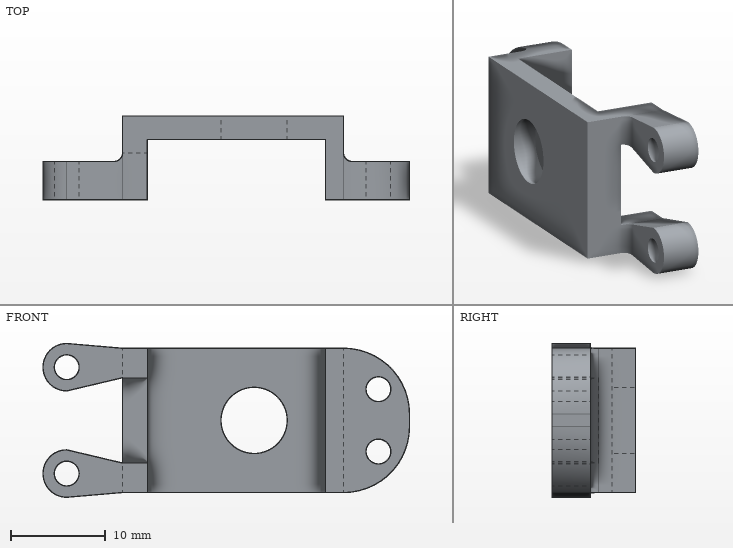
import cadquery as cq
import math

length = 38.8
depth = 8.9
body_height = 15.3
left_wall_outer = 8.42
left_wall_inner = 11.05
right_wall_inner = 29.88
right_wall_outer = 31.8
web_thickness = 2.52
flange_thickness = 4.07
root_fillet = 0.9

lug_radius = 2.52
lug_spacing = 11.25
slot_height = 9.0
slot_depth = flange_thickness + root_fillet

end_corner_radius = length - right_wall_outer
small_hole_diameter = 2.6
flange_hole_x = 35.5
flange_hole_spacing = 6.6

web_hole_diameter = 7.0
web_hole_x = 22.35

half_body = body_height / 2
half_slot = slot_height / 2
lug_z = lug_spacing / 2


def front_plane():
    """XZ sketch plane at Y = 0; a negative extrusion runs along +Y."""
    return cq.Workplane("XZ")


def channel():
    """Hat-shaped section with filleted flange roots, extruded along Z."""
    arc_inset = root_fillet * (1 - math.sqrt(0.5))
    left_arc_mid = (left_wall_outer - arc_inset, flange_thickness + arc_inset)
    right_arc_mid = (right_wall_outer + arc_inset, flange_thickness + arc_inset)
    extrusion_height = lug_spacing + 2 * lug_radius
    return (
        cq.Workplane("XY")
        .moveTo(0, 0)
        .lineTo(left_wall_inner, 0)
        .lineTo(left_wall_inner, depth - web_thickness)
        .lineTo(right_wall_inner, depth - web_thickness)
        .lineTo(right_wall_inner, 0)
        .lineTo(length, 0)
        .lineTo(length, flange_thickness)
        .lineTo(right_wall_outer + root_fillet, flange_thickness)
        .threePointArc(right_arc_mid, (right_wall_outer, flange_thickness + root_fillet))
        .lineTo(right_wall_outer, depth)
        .lineTo(left_wall_outer, depth)
        .lineTo(left_wall_outer, flange_thickness + root_fillet)
        .threePointArc(left_arc_mid, (left_wall_outer - root_fillet, flange_thickness))
        .lineTo(0, flange_thickness)
        .close()
        .extrude(extrusion_height / 2, both=True)
    )


def body_outline():
    """Body with its right-hand corners rounded."""
    body_length = length - left_wall_outer
    return (
        front_plane()
        .rect(body_length, body_height)
        .extrude(-depth)
        .translate((length - body_length / 2, 0, 0))
        .edges("|Y and >X")
        .fillet(end_corner_radius)
    )


def upper_lug_outline():
    """Half-round lug end whose straight sides run to the left wall."""
    return (
        front_plane()
        .moveTo(left_wall_outer, half_body)
        .lineTo(lug_radius, lug_z + lug_radius)
        .threePointArc((0, lug_z), (lug_radius, lug_z - lug_radius))
        .lineTo(left_wall_outer, half_slot)
        .close()
        .extrude(-depth)
    )


def slot():
    """Gap between the lugs, continued through the left wall."""
    return cq.Workplane("XY").box(
        left_wall_inner, slot_depth, slot_height, centered=(False, False, True)
    )


def holes(diameter, points):
    """Round through holes along Y."""
    return front_plane().pushPoints(points).circle(diameter / 2).extrude(-depth)


upper_lug = upper_lug_outline()
outline = body_outline().cut(slot())
outline = outline.union(upper_lug).union(upper_lug.mirror("XY"))

small_hole_points = [
    (x, side * spacing / 2)
    for x, spacing in ((lug_radius, lug_spacing), (flange_hole_x, flange_hole_spacing))
    for side in (1, -1)
]

result = (
    channel()
    .intersect(outline)
    .cut(holes(small_hole_diameter, small_hole_points))
    .cut(holes(web_hole_diameter, [(web_hole_x, 0)]))
)